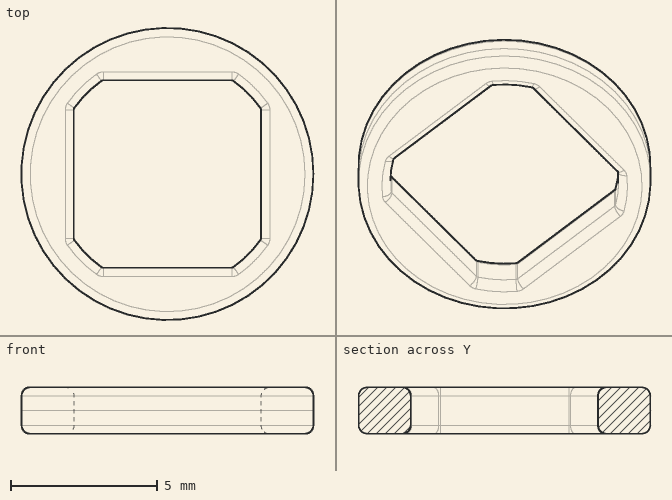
import cadquery as cq

outer_diameter = 10.0
thickness = 1.6
hole_across_flats = 6.4
hole_corner_diameter = 7.8
hole_corner_blend = 0.1
edge_radius = 0.3


def disc(diameter):
    """Cylinder of the ring's thickness, centred on the origin."""
    return cq.Workplane("XY").circle(diameter / 2).extrude(thickness / 2, both=True)


def hole_body():
    """Square prism trimmed by a coaxial cylinder, with the resulting corners blended."""
    square = cq.Workplane("XY").rect(hole_across_flats, hole_across_flats)
    prism = square.extrude(thickness / 2, both=True)
    trimmed = prism.intersect(disc(hole_corner_diameter))
    return trimmed.edges("|Z").fillet(hole_corner_blend)


def round_flat_face_edges(part):
    """Round the outer rim and the hole rim on both flat faces."""
    return part.faces("|Z").edges().fillet(edge_radius)


ring = disc(outer_diameter).cut(hole_body())
result = round_flat_face_edges(ring)